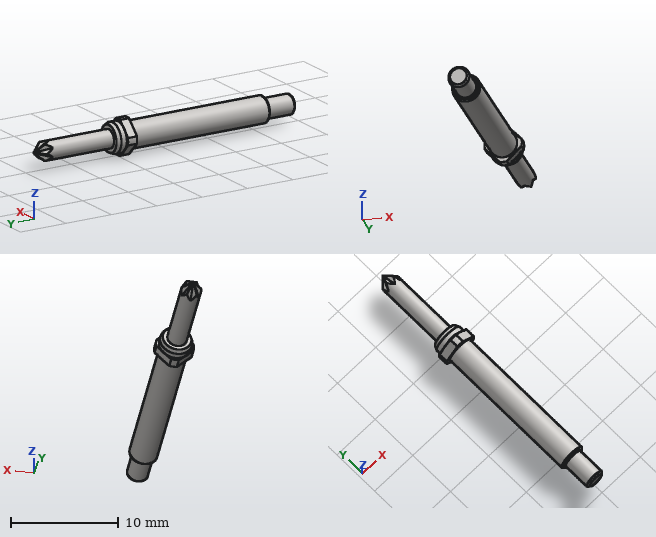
import cadquery as cq
import math

TOTAL_LENGTH = 28.3
TAIL_LENGTH = 3.0
BODY_LENGTH = 15.0
FLANGE_LENGTH = 1.0
COLLAR_LENGTH = 1.02
COLLAR_TAPER_LENGTH = 0.42

TAIL_DIAMETER = 2.0
BODY_DIAMETER = 2.7
FLANGE_DIAMETER = 3.6
FLANGE_ACROSS_FLATS = 3.0
COLLAR_DIAMETER = 3.08
COLLAR_NOSE_DIAMETER = 2.72
PLUNGER_DIAMETER = 1.87

TAIL_CHAMFER = 0.2
BODY_CHAMFER = 0.17

RIDGE_COUNT = 6
RIDGE_ANGLE = 45.0
VALLEY_ANGLE = 30.0

body_start = TAIL_LENGTH
flange_start = body_start + BODY_LENGTH
collar_start = flange_start + FLANGE_LENGTH
plunger_start = collar_start + COLLAR_LENGTH


def cylinder(diameter, start, end):
    """Round bar along +Y between two stations."""
    plane = cq.Workplane("XZ", origin=(0, start, 0))
    return plane.circle(diameter / 2).extrude(start - end)


def make_tail():
    tail = cylinder(TAIL_DIAMETER, 0, body_start)
    return tail.faces("<Y").chamfer(TAIL_CHAMFER)


def make_body():
    body = cylinder(BODY_DIAMETER, body_start, flange_start)
    return body.faces("<Y").chamfer(BODY_CHAMFER)


def make_flange():
    """Disc with four flats at 45 degrees, leaving rounded corners on X and Z."""
    square = (
        cq.Workplane("XZ", origin=(0, flange_start, 0))
        .transformed(rotate=(0, 0, 45))
        .rect(FLANGE_ACROSS_FLATS, FLANGE_ACROSS_FLATS)
        .extrude(-FLANGE_LENGTH)
    )
    return cylinder(FLANGE_DIAMETER, flange_start, collar_start).intersect(square)


def make_collar():
    """Round collar tapering towards the plunger."""
    taper_start = plunger_start - COLLAR_TAPER_LENGTH
    profile = [
        (0, collar_start),
        (COLLAR_DIAMETER / 2, collar_start),
        (COLLAR_DIAMETER / 2, taper_start),
        (COLLAR_NOSE_DIAMETER / 2, plunger_start),
        (0, plunger_start),
    ]
    return cq.Workplane("XY").polyline(profile).close().revolve(360, (0, 0, 0), (0, 1, 0))


def make_star_pyramid(height):
    """Pyramid on a star-shaped base, with its apex at the tip of the part."""
    base_y = TOTAL_LENGTH - height
    apex = cq.Vector(0, TOTAL_LENGTH, 0)
    rim = []
    for i in range(2 * RIDGE_COUNT):
        slope = RIDGE_ANGLE if i % 2 == 0 else VALLEY_ANGLE
        radius = height * math.tan(math.radians(slope))
        around = math.pi * i / RIDGE_COUNT
        rim.append(cq.Vector(radius * math.cos(around), base_y, radius * math.sin(around)))
    faces = [cq.Face.makeFromWires(cq.Wire.makePolygon(rim, close=True))]
    for start, end in zip(rim, rim[1:] + rim[:1]):
        faces.append(cq.Face.makeFromWires(cq.Wire.makePolygon([apex, start, end], close=True)))
    return cq.Workplane(cq.Solid.makeSolid(cq.Shell.makeShell(faces)))


def make_plunger():
    """Slim bar whose end is sharpened to the star-shaped tip."""
    valley_length = PLUNGER_DIAMETER / 2 / math.tan(math.radians(VALLEY_ANGLE))
    tip_start = TOTAL_LENGTH - valley_length
    bar = cylinder(PLUNGER_DIAMETER, plunger_start, tip_start)
    tip = cylinder(PLUNGER_DIAMETER, tip_start, TOTAL_LENGTH).intersect(make_star_pyramid(valley_length))
    return bar.union(tip)


result = make_tail().union(make_body()).union(make_flange()).union(make_collar()).union(make_plunger())